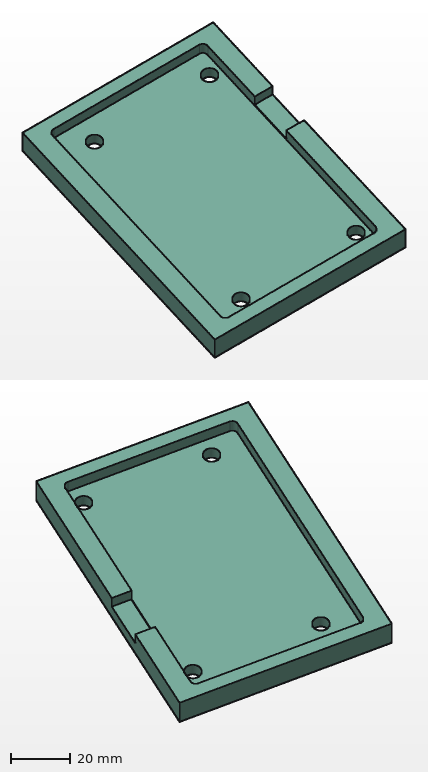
import cadquery as cq

length = 110.0
width = 80.0
height = 10.0

pocket_length = 100.0
pocket_width = 65.0
pocket_depth = 5.0
pocket_corner_radius = 2.0

notch_width = 18.0
notch_center_x = -12.0
notch_depth = 4.5

hole_diameter = 6.0
hole_spacing_x = 83.82
hole_spacing_y = 48.26
hole_pattern_center = (1.27, 3.81)


def make_plate():
    return cq.Workplane("XY").box(length, width, height, centered=(True, True, False))


def make_pocket():
    return (
        cq.Workplane("XY", origin=(0, 0, height - pocket_depth))
        .rect(pocket_length, pocket_width)
        .extrude(pocket_depth)
        .edges("|Z")
        .fillet(pocket_corner_radius)
    )


def make_notch():
    return cq.Workplane("XY", origin=(notch_center_x, 0, height - notch_depth)).box(
        notch_width, width / 2, notch_depth, centered=(True, False, False)
    )


def make_mounting_holes():
    return (
        cq.Workplane("XY")
        .center(*hole_pattern_center)
        .rect(hole_spacing_x, hole_spacing_y, forConstruction=True)
        .vertices()
        .circle(hole_diameter / 2)
        .extrude(height)
    )


result = make_plate().cut(make_pocket()).cut(make_notch()).cut(make_mounting_holes())